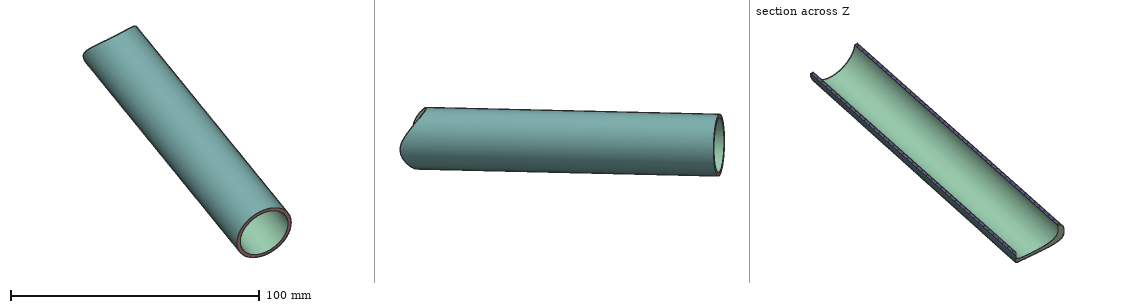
import cadquery as cq
import math

outer_diameter = 25.0
wall = 1.5
yaw = 4.788
rise = 0.528
reach = 136.09

post_radius = 14.89
post_offset = 0.27
lean_x = 7.28
lean_y = -9.46
post_length = 4 * outer_diameter


def tube_direction():
    yaw_angle = math.radians(yaw)
    rise_angle = math.radians(rise)
    level = math.cos(rise_angle)
    return cq.Vector(
        level * math.cos(yaw_angle),
        level * math.sin(yaw_angle),
        math.sin(rise_angle),
    )


def post_direction():
    slope_x = math.tan(math.radians(lean_x))
    slope_y = math.tan(math.radians(lean_y))
    return cq.Vector(slope_x, slope_y, 1).normalized()


def tube_bar(radius):
    """Solid bar on the tube axis, from the origin to the square-cut end."""
    return cq.Workplane(cq.Solid.makeCylinder(radius, reach, cq.Vector(), tube_direction()))


def post():
    """Solid post, centred lengthwise on the point where it passes the origin."""
    direction = post_direction()
    start = cq.Vector(0, post_offset, 0) - direction * (post_length / 2)
    return cq.Workplane(cq.Solid.makeCylinder(post_radius, post_length, start, direction))


outer_radius = outer_diameter / 2
inner_radius = outer_radius - wall
tube = tube_bar(outer_radius).cut(tube_bar(inner_radius))
result = tube.cut(post())